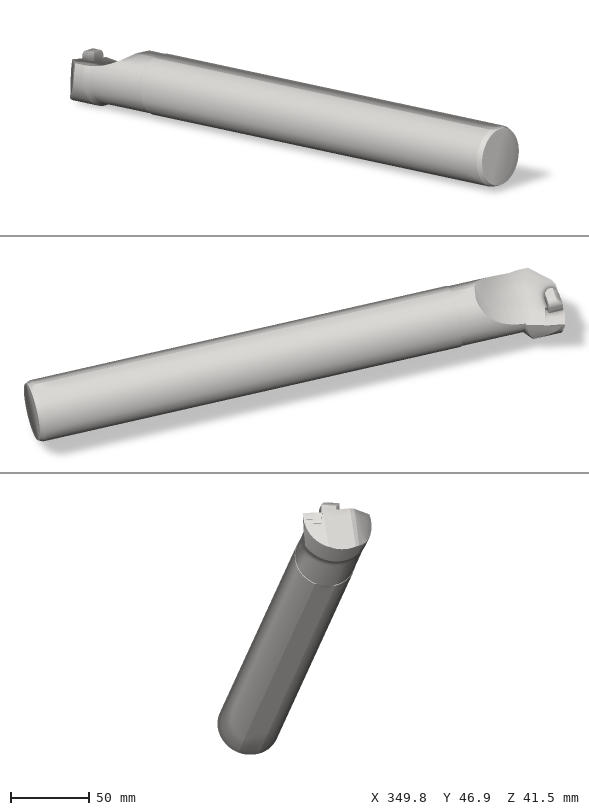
import cadquery as cq
import math

length = 349.8
shank_start = 69.5
shank_radius = 20.0
neck_radius = 19.5
flat_height = 19.0
end_chamfer_length = 3.0
end_chamfer_depth = 1.5

head_radius = 23.0
head_y = head_radius - shank_radius
head_z = 0.5
head_end = 22.7
neck_start = 27.5
front_x = 0.87
insert_seat_y = 14.7
corner_facet_start = (front_x, -3.0)
corner_facet_end = (2.27, -6.3)

floor_tilt = 10.5
floor_height = 5.0
runout_start = 22.7
runout_radius = 45.5
upright_band = 7.0
clearance_angle = 5.0

insert_size = 12.5
insert_turn = 15.0
insert_tip = (3.25, 26.85)
insert_top = 0.87
insert_thickness = 4.5
insert_relief = 7.0
shim_thickness = 2.5
shim_inset = 0.87

clamp_top = 10.0
clamp_back = 2.8
clamp_front = 15.0
clamp_left = 1.22
clamp_width = 9.5
clamp_corner = 2.8
clamp_nose_radius = 4.2
clamp_side_chamfer = 3.5

reach = 105.0


def rod(radius, start, end, y=0, z=0):
    return cq.Workplane("YZ", origin=(start, y, z)).circle(radius).extrude(end - start)


def tilted_with_floor(body):
    return body.rotate((0, 0, 0), (1, 0, 0), -floor_tilt).translate((0, 0, floor_height))


def make_shank():
    shank = rod(shank_radius, shank_start, length)
    end_cone = (
        cq.Workplane("XY")
        .moveTo(shank_start, 0)
        .lineTo(shank_start, shank_radius)
        .lineTo(length - end_chamfer_length, shank_radius)
        .lineTo(length, shank_radius - end_chamfer_depth)
        .lineTo(length, 0)
        .close()
        .revolve(360, (0, 0, 0), (1, 0, 0))
    )
    flats = cq.Workplane("XY").box(2 * length, reach, 2 * flat_height)
    return shank.intersect(end_cone).intersect(flats)


def make_neck_and_head():
    neck = rod(neck_radius, neck_start, shank_start)
    head = rod(head_radius, 0, head_end, head_y, head_z)
    blend = cq.Workplane(cq.Solid.makeLoft([
        cq.Wire.makeCircle(head_radius, cq.Vector(head_end, head_y, head_z), cq.Vector(1, 0, 0)),
        cq.Wire.makeCircle(neck_radius, cq.Vector(neck_start, 0, 0), cq.Vector(1, 0, 0)),
    ], True))
    top_flat = cq.Workplane("XY").box(2 * length, reach, reach).translate((0, 0, flat_height - reach / 2))
    return neck.union(blend).union(head).intersect(top_flat)


def make_head_envelope():
    """Front faces of the head: square to the floor at the top, relieved below."""
    slope = math.tan(math.radians(insert_turn))
    facet_x, facet_y = corner_facet_end
    outline = [
        (front_x, insert_seat_y),
        corner_facet_start,
        corner_facet_end,
        (facet_x + reach, facet_y - reach),
        (facet_x + reach, reach),
        (front_x + (reach - insert_seat_y) * slope, reach),
    ]
    upper = (
        cq.Workplane("XY", origin=(0, 0, -upright_band)).polyline(outline).close()
        .extrude(reach)
    )
    lower = (
        cq.Workplane("XY", origin=(0, 0, -upright_band)).polyline(outline).close()
        .extrude(-2 * head_radius, taper=clearance_angle)
    )
    return tilted_with_floor(upper.union(lower))


def make_side_cut():
    """Material outside the insert's end edge, which the head side follows."""
    return (
        cq.Workplane("XY").box(2 * neck_start, reach, 2 * reach)
        .translate((neck_start, reach / 2, 0))
        .rotate((0, 0, 0), (0, 0, 1), -insert_turn)
        .translate((*insert_tip, 0))
        .intersect(cq.Workplane("XY").box(2 * neck_start, reach, reach))
    )


def make_chip_pocket():
    pocket = (
        cq.Workplane("XZ", origin=(0, reach / 2, 0))
        .moveTo(-reach, 0)
        .lineTo(runout_start, 0)
        .radiusArc((runout_start + runout_radius, runout_radius), -runout_radius)
        .lineTo(-reach, runout_radius)
        .close()
        .extrude(reach)
    )
    return tilted_with_floor(pocket)


def insert_prism(height, size, inset=0, taper=0):
    """Square prism aligned with the insert, rising or falling from its top face."""
    return (
        cq.Workplane("XY")
        .rect(size - 2 * inset, size - 2 * inset)
        .extrude(height, taper=taper)
        .translate((size / 2, -size / 2, 0))
        .rotate((0, 0, 0), (0, 0, 1), -insert_turn)
        .translate((*insert_tip, insert_top))
    )


def make_insert():
    return insert_prism(-insert_thickness, insert_size, taper=insert_relief)


def make_shim():
    shim = insert_prism(-shim_thickness, insert_size, inset=shim_inset)
    return shim.translate((0, 0, -insert_thickness))


def make_clamp():
    depth = clamp_front - clamp_back
    base = insert_top - insert_thickness
    block = (
        cq.Workplane("XY").box(clamp_width, depth, clamp_top - base, centered=False)
        .translate((clamp_left, clamp_back, base))
    )
    rounded = block.edges("|Z and <Y").chamfer(clamp_corner)
    nosed = rounded.edges(">Y and >Z").fillet(clamp_nose_radius)
    side_bevel = (
        cq.Workplane("XZ", origin=(0, reach, 0))
        .moveTo(clamp_left, clamp_top)
        .lineTo(clamp_left + clamp_side_chamfer, clamp_top)
        .lineTo(clamp_left, clamp_top - clamp_side_chamfer)
        .close()
        .extrude(2 * reach)
    )
    return nosed.cut(side_bevel)


insert = make_insert()

head = make_neck_and_head()
head = head.intersect(make_head_envelope()).cut(make_side_cut()).cut(make_chip_pocket())
head = head.cut(insert_prism(reach, insert_size)).union(make_shim()).union(make_clamp())
holder = head.union(make_shank()).cut(insert)

result = cq.Compound.makeCompound([holder.val(), insert.val()])